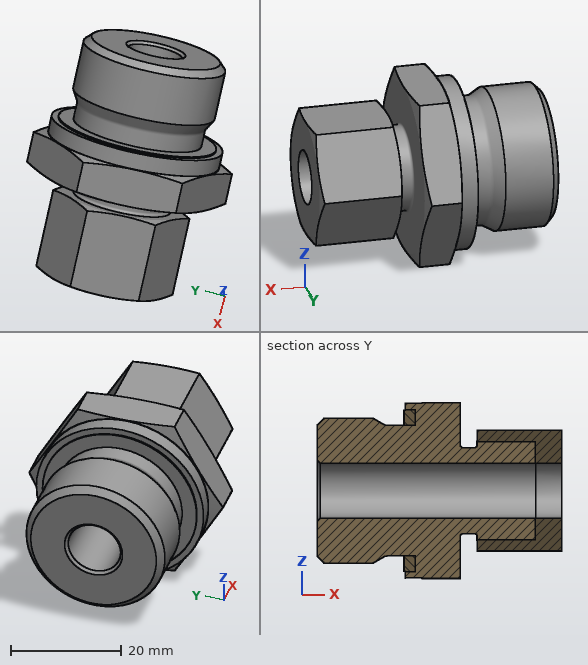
import cadquery as cq
import math

total_length = 44.5
stud_end = -total_length / 2
nut_end = total_length / 2

stud_radius = 13.2
stud_chamfer = 1.25
thread_end_offset = 10.2
runout_angle = math.radians(30)
relief_radius = 11.93
relief_fillet = 1.15

stud_to_flange = 16.0
flange_length = 3.03
flange_radius = 15.95
flange_start = stud_end + stud_to_flange
hex_start = flange_start + flange_length
hex_length = 7.05
hex_across_flats = 32.0
hex_end = hex_start + hex_length
neck_radius = 7.88
neck_fillet = 0.45
bore_radius = 5.0
bore_chamfer = 0.55

spigot_radius = 9.0
spigot_depth = 10.7

nut_length = 15.45
nut_across_flats = 22.0
nut_start = nut_end - nut_length
spigot_end = nut_start + spigot_depth

seal_radius = 14.7
seal_thickness = 2.0
seal_proud = 0.25
seal_start = flange_start - seal_proud
seal_end = seal_start + seal_thickness

corner_angle = math.radians(15)
corner_inset = 0.15
hex_sides = 6


def disc(start, end, radius):
    """Round bar along X between two stations."""
    return cq.Workplane("YZ", origin=(start, 0, 0)).circle(radius).extrude(end - start)


def revolve_about_x(profile):
    """Turn a closed X-radius profile about the X axis."""
    return profile.close().revolve(360, (0, 0, 0), (1, 0, 0))


def chamfered_hexagon(start, end, across_flats):
    """Hexagonal bar with flats at +Z and -Z and corners turned off at both ends."""
    corner_radius = across_flats / 2 / math.cos(math.pi / hex_sides)
    face_radius = across_flats / 2 - corner_inset
    setback = (corner_radius - face_radius) * math.tan(corner_angle)
    prism = cq.Workplane("YZ", origin=(start, 0, 0)).polygon(hex_sides, 2 * corner_radius).extrude(end - start)
    envelope = revolve_about_x(
        cq.Workplane("XY")
        .moveTo(start, 0)
        .lineTo(start, face_radius)
        .lineTo(start + setback, corner_radius)
        .lineTo(end - setback, corner_radius)
        .lineTo(end, face_radius)
        .lineTo(end, 0)
    )
    return prism.intersect(envelope)


def make_stud():
    """Chamfered stud with a conical run-out blending into the relief behind the thread."""
    runout_start = stud_end + thread_end_offset
    blend_radius = relief_radius + relief_fillet * (1 - math.cos(runout_angle))
    blend_start = runout_start + (stud_radius - blend_radius) / math.tan(runout_angle)
    blend_end = blend_start + relief_fillet * math.sin(runout_angle)
    half_angle = runout_angle / 2
    blend_middle = (
        blend_end - relief_fillet * math.sin(half_angle),
        relief_radius + relief_fillet * (1 - math.cos(half_angle)),
    )
    return revolve_about_x(
        cq.Workplane("XY")
        .moveTo(stud_end, 0)
        .lineTo(stud_end, stud_radius - stud_chamfer)
        .lineTo(stud_end + stud_chamfer, stud_radius)
        .lineTo(runout_start, stud_radius)
        .lineTo(blend_start, blend_radius)
        .threePointArc(blend_middle, (blend_end, relief_radius))
        .lineTo(flange_start, relief_radius)
        .lineTo(flange_start, 0)
    )


def make_neck():
    """Neck between the hexagon and the spigot, filleted into both shoulders."""
    foot_radius = neck_radius + neck_fillet
    arc_offset = neck_fillet * (1 - math.sqrt(0.5))
    return revolve_about_x(
        cq.Workplane("XY")
        .moveTo(hex_end, 0)
        .lineTo(hex_end, foot_radius)
        .threePointArc((hex_end + arc_offset, neck_radius + arc_offset), (hex_end + neck_fillet, neck_radius))
        .lineTo(nut_start - neck_fillet, neck_radius)
        .threePointArc((nut_start - arc_offset, neck_radius + arc_offset), (nut_start, foot_radius))
        .lineTo(nut_start, 0)
    )


def make_bore():
    """Through bore with a chamfered mouth at the stud end."""
    return revolve_about_x(
        cq.Workplane("XY")
        .moveTo(stud_end, 0)
        .lineTo(stud_end, bore_radius + bore_chamfer)
        .lineTo(stud_end + bore_chamfer, bore_radius)
        .lineTo(spigot_end, bore_radius)
        .lineTo(spigot_end, 0)
    )


def make_seal():
    """Flat ring around the relief, backed by the flange."""
    return disc(seal_start, seal_end, seal_radius).cut(disc(seal_start, seal_end, relief_radius))


def make_housing():
    """Stud, flange, hexagon, neck and spigot with the bore and the seal recess."""
    return (
        make_stud()
        .union(disc(flange_start, hex_start, flange_radius))
        .union(chamfered_hexagon(hex_start, hex_end, hex_across_flats))
        .union(make_neck())
        .union(disc(nut_start, spigot_end, spigot_radius))
        .cut(make_bore())
        .cut(make_seal())
    )


def make_union_nut():
    """Hexagonal nut with a socket for the spigot and the bore carried through its end."""
    return (
        chamfered_hexagon(nut_start, nut_end, nut_across_flats)
        .cut(disc(nut_start, spigot_end, spigot_radius))
        .cut(disc(spigot_end, nut_end, bore_radius))
    )


housing = make_housing()
seal = make_seal()
union_nut = make_union_nut()

result = cq.Compound.makeCompound([housing.val(), seal.val(), union_nut.val()])